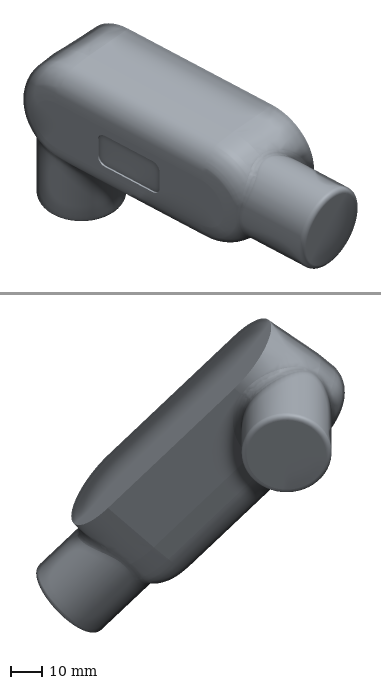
import cadquery as cq


total_length = 118.8
total_depth = 35.7
total_height = 59.0

body_radius = 18.8
body_straight = 59.4
front_round = 9.5
back_depth = 19.8
taper_angle = 4.5

hub_diameter = 28.6
hub_rim_round = 1.7
lower_hub_inset = 1.5
junction_round = 3.0

recess_length = 25.4
recess_height = 12.8
recess_corner = 3.0
recess_depth = 0.6

match_tolerance = 0.01

body_height = 2 * body_radius
body_length = body_straight + body_height
body_left = -body_length / 2
front_depth = total_depth - back_depth
hub_radius = hub_diameter / 2
end_hub_reach = body_left + total_length
lower_hub_reach = total_height - body_radius
lower_hub_x = body_left + lower_hub_inset + hub_radius


def body_outline():
    """Round-ended outline in the plane of the hub axes."""
    return cq.Workplane("XZ").slot2D(body_length, body_height)


def make_body():
    """Block with round ends, rounded at the front and tapered towards the back."""
    front = body_outline().extrude(front_depth).faces("<Y").edges().fillet(front_round)
    back = body_outline().extrude(-back_depth, taper=taper_angle)
    return front.union(back)


def add_hub(body, start, direction, reach):
    """Add a round hub that leaves `start` along `direction`, blended into the body."""
    axis_plane = cq.Plane(origin=start, xDir=(0, 1, 0), normal=direction.toTuple())
    hub = cq.Workplane(axis_plane).circle(hub_radius).extrude(reach)
    hub = hub.faces(cq.selectors.DirectionMinMaxSelector(direction)).edges().fillet(hub_rim_round)
    joined = body.union(hub)

    def on_seam(point):
        """True for points on the hub wall that lie well short of its rim."""
        offset = point - cq.Vector(start)
        along = offset.dot(direction)
        radial = (offset - direction * along).Length
        return abs(radial - hub_radius) < match_tolerance and along < reach - 2 * hub_rim_round

    seam = [
        edge
        for edge in joined.edges("not %LINE").vals()
        if all(on_seam(edge.positionAt(fraction)) for fraction in (0, 0.5, 1))
    ]
    return joined.newObject(seam).fillet(junction_round)


def make_label_recess():
    """Shallow rounded rectangle to be sunk into the front face."""
    return (
        cq.Workplane("XZ", origin=(0, -front_depth, 0))
        .rect(recess_length, recess_height)
        .extrude(-recess_depth)
        .edges("|Y")
        .fillet(recess_corner)
    )


elbow = make_body()
elbow = add_hub(elbow, (0, 0, 0), cq.Vector(1, 0, 0), end_hub_reach)
elbow = add_hub(elbow, (lower_hub_x, 0, 0), cq.Vector(0, 0, -1), lower_hub_reach)
result = elbow.cut(make_label_recess())